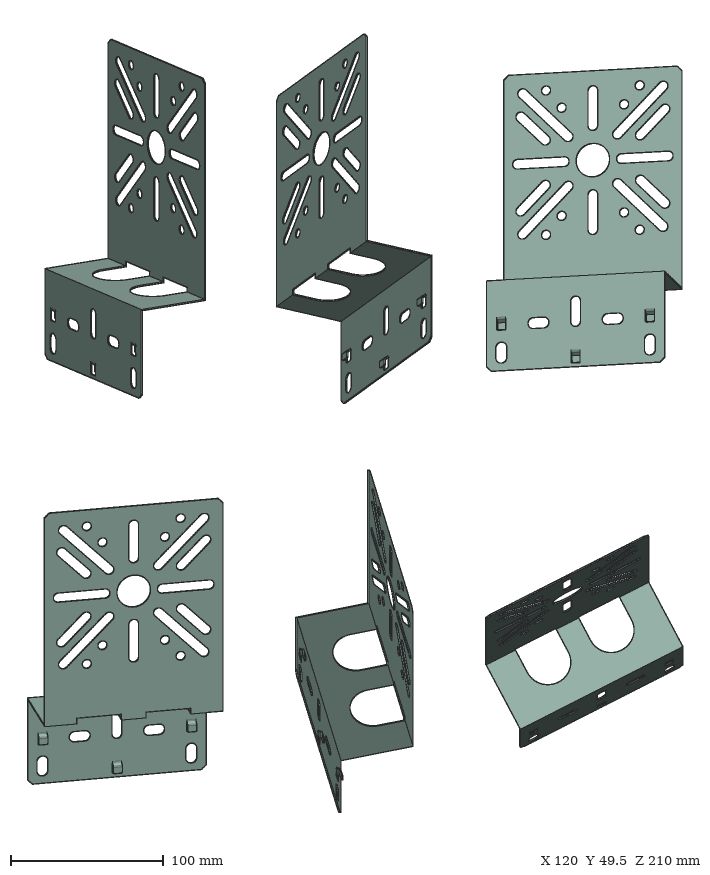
import cadquery as cq
import math

width = 120.0
depth = 49.5
height = 210.0
sheet = 1.0
flange_height = 61.0
corner_chamfer = 3.2

pattern_from_top = 60.0
centre_hole_diameter = 22.5
slot_width = 6.5
hole_diameter = 6.0
upright_slot_ends = (20.0, 50.0)
level_slot_ends = (16.0, 54.0)
long_diagonal_ends = (16.5, 47.2)
short_diagonal_start = (32.0, 15.1)
short_diagonal_run = 16.5
small_holes = [(21.0, 36.3), (31.5, 48.5)]

opening_width = 30.0
opening_spacing = 46.6
opening_reach = 33.0
opening_rise = 3.0

middle_slot_bottom = 27.0
middle_slot_length = 20.4
obround_length = 14.0
obround_width = 7.4
level_obround_x = 25.0
level_obround_z = 30.9
side_x = 50.0
upright_obround_z = 12.2

window_width = 6.0
window_height = 8.6
window_corner_radius = 1.0
side_window_top = 36.0
middle_window_top = 11.1
hook_drop = 7.5
hook_gap = 2.0
hook_bend_angle = 55
hook_bend_inner_radius = 0.74
hook_tip_radius = 1.0

back_y = depth / 2
front_y = -depth / 2
shelf_bottom = flange_height - sheet
pattern_z = height - pattern_from_top


def facing_front(x, z):
    """Workplane behind the part facing -Y, with local X along X and local Y along Z."""
    return cq.Workplane("XZ", origin=(x, depth, z))


def slot_cutter(start, end, slot_diameter):
    """Round-ended slot cut along Y; start and end are the (X, Z) outermost points on its axis."""
    run = end[0] - start[0]
    rise = end[1] - start[1]
    length = math.hypot(run, rise)
    angle = math.degrees(math.atan2(rise, run))
    middle = facing_front((start[0] + end[0]) / 2, (start[1] + end[1]) / 2)
    return middle.slot2D(length, slot_diameter, angle).extrude(2 * depth)


def diagonal_slot_cutter(start, end):
    """45 degree slot of the pattern; start and end are the centres of its round ends."""
    overhang = slot_width / 2 * math.cos(math.radians(45))
    step_x = math.copysign(overhang, end[0] - start[0])
    step_z = math.copysign(overhang, end[1] - start[1])
    outer_start = (start[0] - step_x, start[1] - step_z)
    outer_end = (end[0] + step_x, end[1] + step_z)
    return slot_cutter(outer_start, outer_end, slot_width)


def bent_sheet():
    """Z-bent sheet with its four free corners cut off."""
    profile = [
        (back_y, height),
        (back_y, shelf_bottom),
        (front_y + sheet, shelf_bottom),
        (front_y + sheet, 0),
        (front_y, 0),
        (front_y, flange_height),
        (back_y - sheet, flange_height),
        (back_y - sheet, height),
    ]
    body = cq.Workplane("YZ").polyline(profile).close().extrude(width / 2, both=True)
    outline = (
        facing_front(0, height / 2)
        .rect(width, height)
        .extrude(2 * depth)
        .edges("|Y")
        .chamfer(corner_chamfer)
    )
    return body.intersect(outline)


def cut_plate_pattern(body):
    """Large hole with slots and small holes arranged symmetrically around it."""
    body = body.cut(facing_front(0, pattern_z).circle(centre_hole_diameter / 2).extrude(2 * depth))
    for side in (-1, 1):
        upright = [(0, pattern_z + side * end) for end in upright_slot_ends]
        level = [(side * end, pattern_z) for end in level_slot_ends]
        body = body.cut(slot_cutter(*upright, slot_width))
        body = body.cut(slot_cutter(*level, slot_width))
        for rise in (-1, 1):
            long_ends = [(side * end, pattern_z + rise * end) for end in long_diagonal_ends]
            short_ends = [
                (side * (short_diagonal_start[0] + run), pattern_z + rise * (short_diagonal_start[1] + run))
                for run in (0, short_diagonal_run)
            ]
            body = body.cut(diagonal_slot_cutter(*long_ends))
            body = body.cut(diagonal_slot_cutter(*short_ends))
            for x, z in small_holes:
                hole = facing_front(side * x, pattern_z + rise * z).circle(hole_diameter / 2)
                body = body.cut(hole.extrude(2 * depth))
    return body


def cut_cable_openings(body):
    """Two U-shaped openings in the shelf that run out through the foot of the upper plate."""
    straight = opening_reach - opening_width / 2
    for side in (-1, 1):
        opening = (
            cq.Workplane("XY", origin=(side * opening_spacing / 2, back_y, shelf_bottom))
            .moveTo(-opening_width / 2, 0)
            .lineTo(-opening_width / 2, -straight)
            .threePointArc((0, -opening_reach), (opening_width / 2, -straight))
            .lineTo(opening_width / 2, 0)
            .close()
            .extrude(sheet + opening_rise)
        )
        body = body.cut(opening)
    return body


def cut_flange_slots(body):
    """Middle slot plus a level and an upright obround on each side of the flange."""
    middle_top = middle_slot_bottom + middle_slot_length
    cutters = [slot_cutter((0, middle_slot_bottom), (0, middle_top), slot_width)]
    for side in (-1, 1):
        level = facing_front(side * level_obround_x, level_obround_z)
        upright = facing_front(side * side_x, upright_obround_z)
        cutters.append(level.slot2D(obround_length, obround_width).extrude(2 * depth))
        cutters.append(upright.slot2D(obround_length, obround_width, 90).extrude(2 * depth))
    for cutter in cutters:
        body = body.cut(cutter)
    return body


def window_cutter(x, top):
    """Flange window with rounded lower corners."""
    return (
        facing_front(x, top - window_height / 2)
        .rect(window_width, window_height)
        .extrude(2 * depth)
        .edges("|Y and <Z")
        .fillet(window_corner_radius)
    )


def hook(x, top):
    """Strip of the sheet bent back from the window top and then down, parallel to the flange."""

    def bend_point(radius, angle):
        turn = math.radians(angle)
        return (bend_radius - radius * math.cos(turn), -radius * math.sin(turn))

    bend_radius = hook_bend_inner_radius + sheet
    half_angle = hook_bend_angle / 2
    near = sheet + hook_gap
    far = near + sheet
    slope_start = bend_point(bend_radius, hook_bend_angle)
    slope_drop = (near - slope_start[0]) / math.tan(math.radians(hook_bend_angle))
    knee_z = slope_start[1] - slope_drop

    def knee_point(angle):
        turn = math.radians(angle)
        return (near + sheet * math.cos(turn), knee_z + sheet * math.sin(turn))

    return (
        cq.Workplane("YZ", origin=(x, front_y, top))
        .moveTo(0, 0)
        .threePointArc(bend_point(bend_radius, half_angle), slope_start)
        .lineTo(near, knee_z)
        .lineTo(near, -hook_drop)
        .lineTo(far, -hook_drop)
        .lineTo(far, knee_z)
        .threePointArc(knee_point(half_angle), knee_point(hook_bend_angle))
        .lineTo(*bend_point(hook_bend_inner_radius, hook_bend_angle))
        .threePointArc(bend_point(hook_bend_inner_radius, half_angle), (sheet, 0))
        .close()
        .extrude(window_width / 2, both=True)
        .faces("<Z")
        .edges("|Y")
        .fillet(hook_tip_radius)
    )


def add_hooks(body):
    """One hook near each side edge and one in the middle near the bottom edge."""
    places = [(-side_x, side_window_top), (0, middle_window_top), (side_x, side_window_top)]
    for x, top in places:
        body = body.cut(window_cutter(x, top)).union(hook(x, top))
    return body


result = bent_sheet()
result = cut_plate_pattern(result)
result = cut_cable_openings(result)
result = cut_flange_slots(result)
result = add_hooks(result)